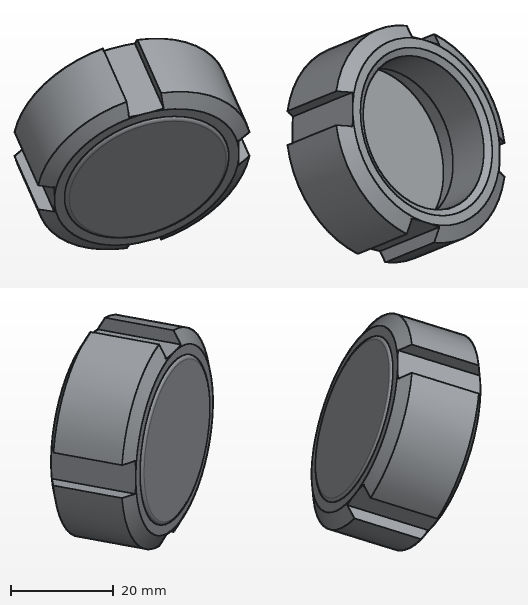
import cadquery as cq
import math

across_slot_corners = 43.45
slot_width = 7.1
slot_floor_radius = 18.95
body_length = 18.03
face_diameter = 37.95
rim_chamfer_angle = 30.0

body_radius = math.hypot(across_slot_corners / 2, slot_width / 2)
face_radius = face_diameter / 2
rim_chamfer_length = (body_radius - face_radius) * math.tan(math.radians(rim_chamfer_angle))

bore_radius = 31.15 / 2
bore_mouth_radius = 34.0 / 2
bore_mouth_depth = 0.83
bore_length = 10.0
recess_radius = 34.8 / 2
bore_depth = 14.95

overall_length = 18.5
cap_base_radius = 16.9
cap_edge_round = 0.85
round_centre_x = overall_length - cap_edge_round
base_angle = math.acos((body_length - round_centre_x) / cap_edge_round)
cap_end_radius = cap_base_radius - cap_edge_round * math.sin(base_angle)
cap_round_middle = (
    round_centre_x + cap_edge_round * math.cos(base_angle / 2),
    cap_end_radius + cap_edge_round * math.sin(base_angle / 2),
)


def make_body():
    """Revolve the solid ring outline with its bevelled rims and end cap."""
    outline = (
        cq.Workplane("XY")
        .lineTo(0, face_radius)
        .lineTo(rim_chamfer_length, body_radius)
        .lineTo(body_length - rim_chamfer_length, body_radius)
        .lineTo(body_length, face_radius)
        .lineTo(body_length, cap_base_radius)
        .threePointArc(cap_round_middle, (overall_length, cap_end_radius))
        .lineTo(overall_length, 0)
        .close()
    )
    return outline.revolve(360, (0, 0, 0), (1, 0, 0))


def make_bore():
    """Revolve the blind bore, with its conical mouth and inner recess."""
    outline = [
        (0, 0),
        (0, bore_mouth_radius),
        (bore_mouth_depth, bore_radius),
        (bore_length, bore_radius),
        (bore_length, recess_radius),
        (bore_depth, recess_radius),
        (bore_depth, 0),
    ]
    return cq.Workplane("XY").polyline(outline).close().revolve(360, (0, 0, 0), (1, 0, 0))


def make_slot(angle):
    """Spanner slot running along the full length of the ring."""
    slot_depth = body_radius - slot_floor_radius
    slot = cq.Workplane("XY").box(body_length, slot_width, slot_depth, centered=(False, True, False))
    return slot.translate((0, 0, slot_floor_radius)).rotate((0, 0, 0), (1, 0, 0), angle)


result = make_body().cut(make_bore())
for slot_angle in (0, 90, 180, 270):
    result = result.cut(make_slot(slot_angle))

result = result.translate((-overall_length / 2, 0, 0))